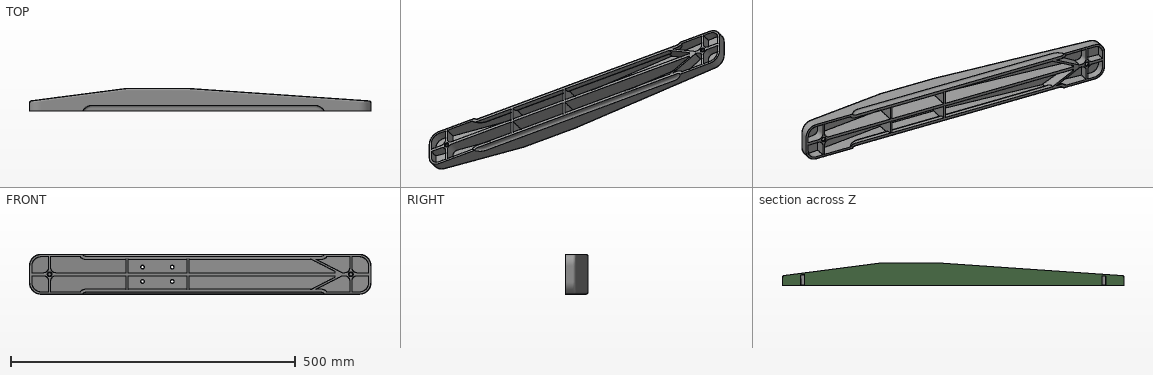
import cadquery as cq
import math

length = 600.0
height = 70.0
depth = 40.0
end_depth = 18.0
corner_radius = 20.5
back_edge_radius = 4.0

wall = 4.0
floor = 3.5
rib = 3.5
spine = 5.5

flat_start = 171.0
flat_end = 278.5

crossing_inset = 35.5
crossing_fillet = 9.0
bore_diameter = 6.0
bore_chamfer = 1.0

hole_diameter = 6.0
hole_columns = (198.5, 251.0)
hole_z = 12.5

relief_start = 90.5
relief_end = 521.0
relief_reach = 11.0
relief_depth = 3.5
relief_corner = 20.5
relief_fillet = 5.5
relief_wall = 5.5

v_apex_x = 551.0
v_angle = 27.0
v_fill_x = 537.0

half_height = height / 2
past = 30.0


def back_prism(offset):
    """Space in front of the sloped back, with the back moved inwards by offset."""
    return (
        cq.Workplane("XY")
        .moveTo(0, 0)
        .lineTo(length, 0)
        .lineTo(length, end_depth - offset)
        .lineTo(flat_end, depth - offset)
        .lineTo(flat_start, depth - offset)
        .lineTo(0, end_depth - offset)
        .close()
        .extrude(half_height, both=True)
    )


def box(x_start, x_end, z_start, z_end):
    """Block over the full depth of the bar."""
    return cq.Workplane("XY").box(
        x_end - x_start, depth, z_end - z_start, centered=False
    ).translate((x_start, 0, z_start))


def rounded_bar(inset):
    """Bar with rounded ends in front view, shrunk by inset on its four sides."""
    bar = box(inset, length - inset, inset - half_height, half_height - inset)
    return bar.edges("|Y").fillet(corner_radius - inset)


def cylinder(x, z, diameter):
    """Round column along Y over the full depth."""
    return cq.Workplane("XZ", origin=(x, 0, z)).circle(diameter / 2).extrude(-depth)


def relief(growth):
    """Rounded block for the relief on the upper edge, grown outwards by growth."""
    bottom_z = half_height - relief_depth - growth
    block = cq.Workplane("XY").box(
        relief_end - relief_start + 2 * growth,
        relief_reach + growth + past,
        relief_depth + growth + past,
        centered=False,
    ).translate((relief_start - growth, -past, bottom_z))
    block = block.edges("|Z and >Y").fillet(relief_corner + growth)
    return block.faces("<Z").edges("not <Y").fillet(relief_fillet + growth)


def both_sides(shape):
    """The shape together with its mirror image below the middle plane."""
    return shape.union(shape.mirror("XY"))


def cross_rib(x):
    """Rib across the whole height of the bar."""
    return box(x - rib / 2, x + rib / 2, -half_height, half_height)


def crossing_corners(x):
    """Selector for the four inside corners where a cross rib meets the spine."""
    return cq.selectors.BoxSelector((x - rib, 0, -spine), (x + rib, depth, spine))


def bore_mouth(x):
    """Cone that chamfers the front edge of a bore."""
    mouth_radius = bore_diameter / 2 + bore_chamfer
    cone = cq.Solid.makeCone(
        mouth_radius, bore_diameter / 2, bore_chamfer, cq.Vector(x, 0, 0), cq.Vector(0, 1, 0)
    )
    return cq.Workplane(obj=cone)


def v_rib():
    """Two slanted arms that meet on the spine, with the point between them filled."""
    arm = cq.Workplane("XY").box(height, depth, rib, centered=(False, False, True))
    arm = arm.rotate((0, 0, 0), (0, 1, 0), 180 + v_angle).translate((v_apex_x, 0, 0))
    fill_length = v_apex_x - v_fill_x
    fill_half_width = fill_length * math.tan(math.radians(v_angle))
    fill = (
        cq.Workplane("XZ")
        .moveTo(v_apex_x, 0)
        .lineTo(v_fill_x, fill_half_width)
        .lineTo(v_fill_x, -fill_half_width)
        .close()
        .extrude(-depth)
    )
    return both_sides(arm).union(fill)


body = rounded_bar(0).intersect(back_prism(0))
body = body.edges("not (|Y or <Y or (|Z and >Y))").fillet(back_edge_radius)

cavity = rounded_bar(wall).intersect(back_prism(floor))
hollow = cavity.cut(both_sides(relief(relief_wall)))

crossings = (crossing_inset, length - crossing_inset)
ribs = box(0, length, -spine / 2, spine / 2)
for x in crossings:
    ribs = ribs.union(cross_rib(x))
    ribs = ribs.edges(crossing_corners(x)).fillet(crossing_fillet)
for x in (flat_start, flat_end):
    ribs = ribs.union(cross_rib(x))
ribs = ribs.union(v_rib())

result = body.cut(hollow.cut(ribs)).cut(both_sides(relief(0)))

for x in crossings:
    result = result.cut(cylinder(x, 0, bore_diameter).intersect(cavity))
    result = result.cut(bore_mouth(x))

for x in hole_columns:
    for z in (-hole_z, hole_z):
        result = result.cut(cylinder(x, z, hole_diameter))